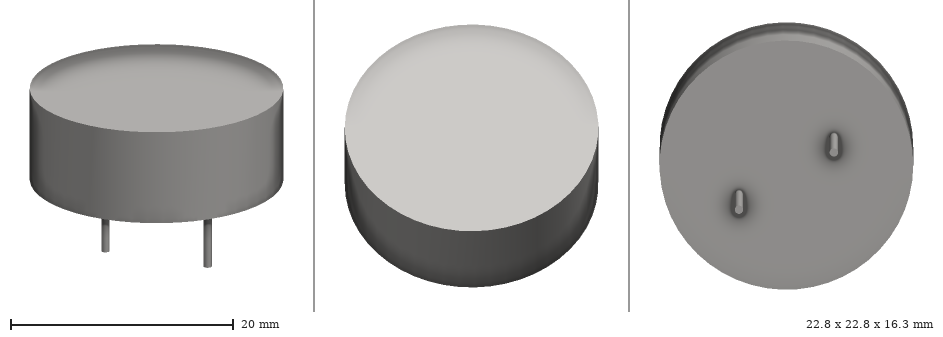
import cadquery as cq

body_diameter = 22.8
overall_height = 16.32
body_height = 8.7

pin_diameter = 0.75
pin_pitch = 10.0
pin_length = overall_height - body_height


def make_body():
    """Plain disc standing on Z = 0."""
    return cq.Workplane("XY").circle(body_diameter / 2).extrude(body_height)


def add_pins(body):
    """Add the pins, hanging down from the underside of the body."""
    pin_centres = [(-pin_pitch / 2, 0), (pin_pitch / 2, 0)]
    pins = cq.Workplane("XY").pushPoints(pin_centres).circle(pin_diameter / 2).extrude(-pin_length)
    return body.union(pins)


result = add_pins(make_body())